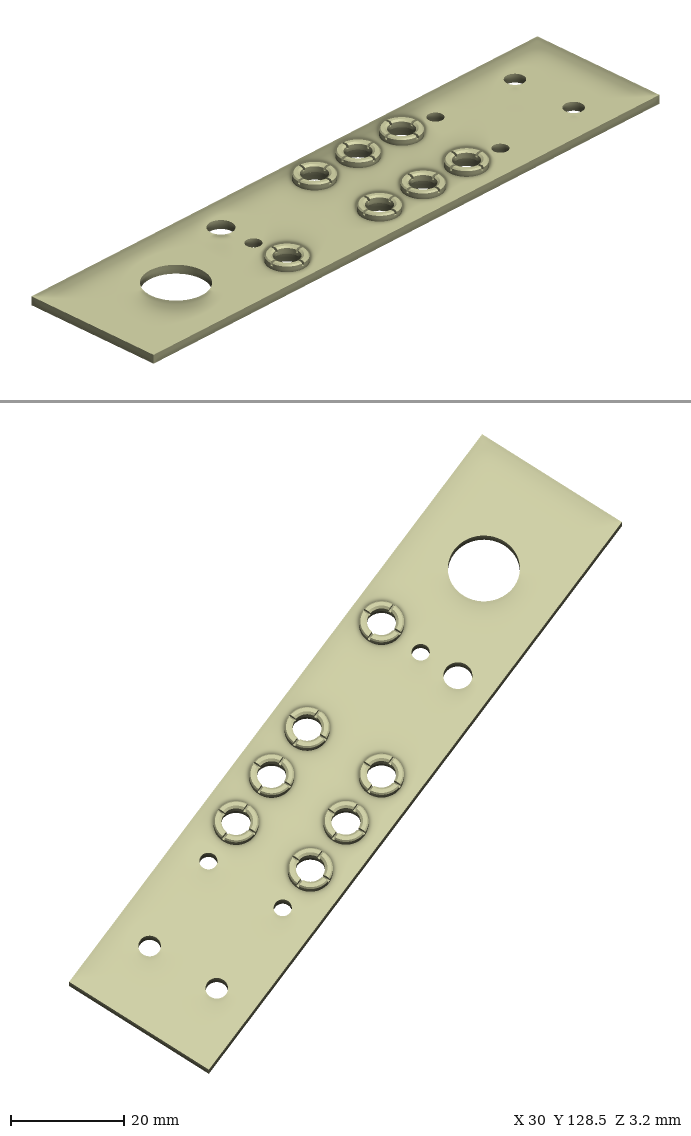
import cadquery as cq

plate_width = 30.0
plate_length = 128.5
total_height = 3.2
plate_thickness = 1.8

mount_hole_diameter = 4.0
mount_hole_x = 7.2
mount_hole_y = 50.5
small_hole_diameter = 3.2
small_hole_y = 31.1
side_hole_diameter = 5.1
side_hole_x = -8.0
lower_row_y = -23.4
large_hole_diameter = 12.7
large_hole_y = -43.0

column_x = 8.0
row_pitch = 11.0
first_row_y = 22.5
row_count = 3
single_ring_position = (8.7, -23.9)

ring_diameter = 8.0
ring_bore_diameter = 5.1
ring_hole_diameter = 6.0
rim_chamfer = 0.3
bore_chamfer_width = 0.45
bore_chamfer_depth = 0.3
slot_width = 0.5
slot_depth = 0.8

ring_positions = [
    (side * column_x, first_row_y - row * row_pitch)
    for row in range(row_count)
    for side in (-1, 1)
]
ring_positions.append(single_ring_position)


def drill(body, diameter, positions):
    """Cut straight holes through the full thickness of the plate."""
    cutters = (
        cq.Workplane("XY")
        .pushPoints(positions)
        .circle(diameter / 2)
        .extrude(plate_thickness)
    )
    return body.cut(cutters)


def make_plate():
    """Flat rectangular plate with its plain holes and the holes under the rings."""
    body = cq.Workplane("XY").box(
        plate_width, plate_length, plate_thickness, centered=(True, True, False)
    )
    mount_hole_positions = [(-mount_hole_x, mount_hole_y), (mount_hole_x, mount_hole_y)]
    body = drill(body, mount_hole_diameter, mount_hole_positions)
    small_hole_positions = [
        (-column_x, small_hole_y),
        (column_x, small_hole_y),
        (0, lower_row_y),
    ]
    body = drill(body, small_hole_diameter, small_hole_positions)
    body = drill(body, side_hole_diameter, [(side_hole_x, lower_row_y)])
    body = drill(body, large_hole_diameter, [(0, large_hole_y)])
    return drill(body, ring_hole_diameter, ring_positions)


def make_ring(position):
    """Ring resting on the plate, chamfered at its top edges, with a cross of slots in its top face."""
    outer_radius = ring_diameter / 2
    bore_radius = ring_bore_diameter / 2
    body = (
        cq.Workplane("XZ")
        .moveTo(bore_radius, plate_thickness)
        .lineTo(outer_radius, plate_thickness)
        .lineTo(outer_radius, total_height - rim_chamfer)
        .lineTo(outer_radius - rim_chamfer, total_height)
        .lineTo(bore_radius + bore_chamfer_width, total_height)
        .lineTo(bore_radius, total_height - bore_chamfer_depth)
        .close()
        .revolve(360, (0, 0, 0), (0, 1, 0))
    )
    slot_floor = cq.Workplane("XY", origin=(0, 0, total_height - slot_depth))
    slot_along_x = slot_floor.rect(ring_diameter, slot_width).extrude(slot_depth)
    slot_along_y = slot_floor.rect(slot_width, ring_diameter).extrude(slot_depth)
    return body.cut(slot_along_x).cut(slot_along_y).translate((*position, 0))


plate = make_plate()
rings = [make_ring(position) for position in ring_positions]

result = cq.Compound.makeCompound([plate.val(), *[ring.val() for ring in rings]])